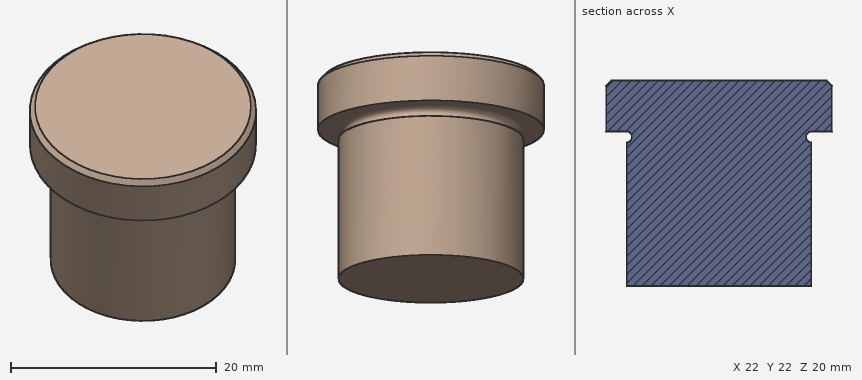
import cadquery as cq
import math

head_diameter = 22.0
total_height = 20.0
head_height = 5.0
head_chamfer = 0.5
shank_diameter = 18.0
groove_radius = 0.5

head_radius = head_diameter / 2
shank_radius = shank_diameter / 2
head_underside = total_height - head_height
groove_middle = head_underside - groove_radius
groove_bottom = groove_middle - groove_radius
groove_floor_radius = shank_radius - groove_radius
arc_offset = groove_radius * math.sqrt(0.5)

profile = (
    cq.Workplane("XZ")
    .lineTo(shank_radius, 0)
    .lineTo(shank_radius, groove_bottom)
    .threePointArc(
        (shank_radius - arc_offset, groove_middle - arc_offset),
        (groove_floor_radius, groove_middle),
    )
    .threePointArc(
        (shank_radius - arc_offset, groove_middle + arc_offset),
        (shank_radius, head_underside),
    )
    .lineTo(head_radius, head_underside)
    .lineTo(head_radius, total_height - head_chamfer)
    .lineTo(head_radius - head_chamfer, total_height)
    .lineTo(0, total_height)
    .close()
)

result = profile.revolve(360, (0, 0, 0), (0, 1, 0))